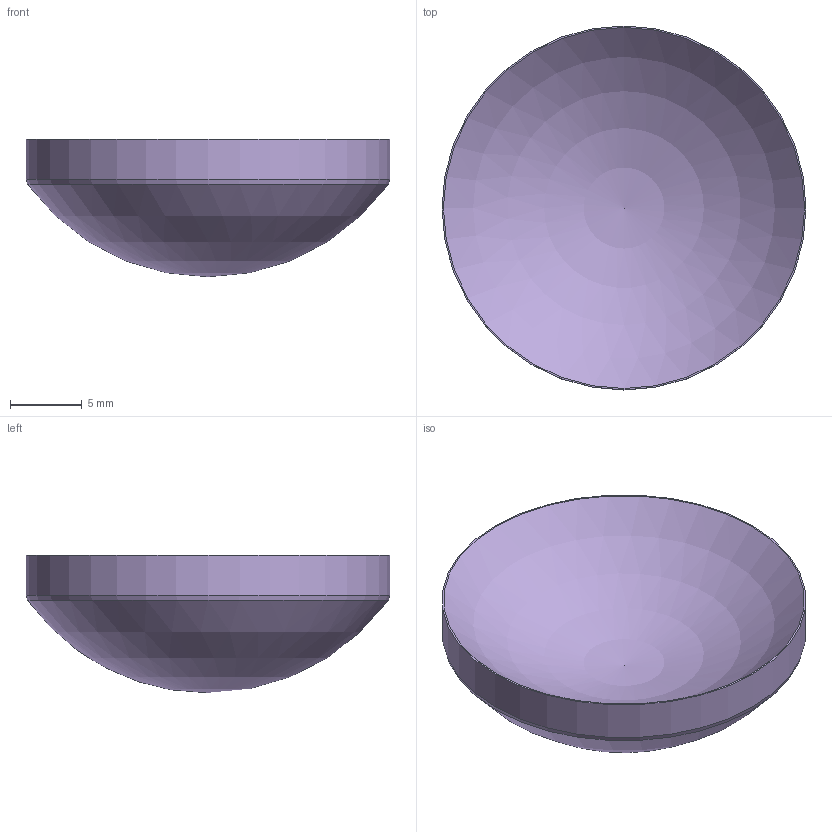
import cadquery as cq
import math

diameter = 25.4
overall_height = 9.6
convex_radius = 15.5
concave_radius = 17.0
edge_height = 2.8
bevel_width = 0.1
rim_width = 0.1

radius = diameter / 2
convex_edge_radius = radius - bevel_width
concave_edge_radius = radius - rim_width
edge_bottom_z = overall_height - edge_height


def sag(sphere_radius, r):
    """Axial depth of a spherical face at distance r from the axis."""
    return sphere_radius - math.sqrt(sphere_radius**2 - r**2)


convex_edge_z = sag(convex_radius, convex_edge_radius)
concave_bottom_z = overall_height - sag(concave_radius, concave_edge_radius)


def lens_profile():
    """Half section of the lens, from the optical axis out to the edge."""
    mid_r = radius / 2
    convex_mid = (mid_r, sag(convex_radius, mid_r))
    concave_mid = (mid_r, concave_bottom_z + sag(concave_radius, mid_r))
    return (
        cq.Workplane("YZ")
        .moveTo(0, 0)
        .threePointArc(convex_mid, (convex_edge_radius, convex_edge_z))
        .lineTo(radius, edge_bottom_z)
        .lineTo(radius, overall_height)
        .lineTo(concave_edge_radius, overall_height)
        .threePointArc(concave_mid, (0, concave_bottom_z))
        .close()
    )


result = lens_profile().revolve(360, (0, 0, 0), (0, 1, 0))